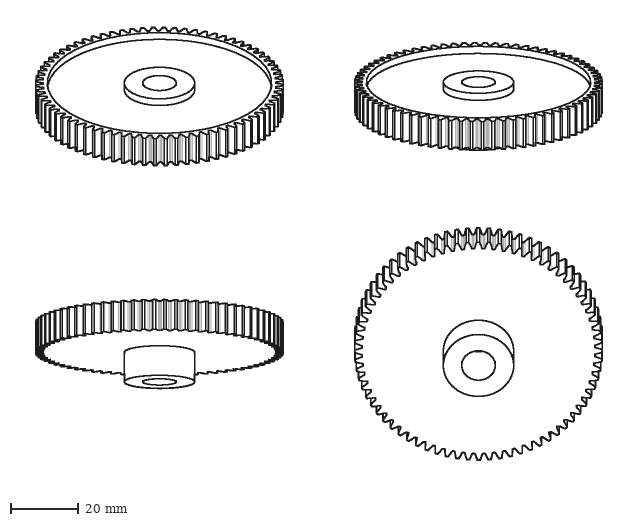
import cadquery as cq
import math

gear_width = 73.95
total_height = 18.0
rim_height = total_height / 2

bore_diameter = 10.0
hub_diameter = 21.0
recess_diameter = 66.9
recess_depth = 2.2

tooth_count = 72
pressure_angle = math.radians(20)
addendum_factor = 1.0
dedendum_factor = 1.25
root_fillet_factor = 0.38
flank_steps = 4

half_pitch = math.pi / tooth_count
base_ratio = math.cos(pressure_angle)
tip_ratio = 1 + 2 * addendum_factor / tooth_count


def involute(angle):
    return math.tan(angle) - angle


def half_tooth_angle(radius_ratio):
    """Half the angle a tooth fills at a radius given as a multiple of the pitch radius."""
    local_pressure_angle = math.acos(base_ratio / radius_ratio)
    return half_pitch / 2 + involute(pressure_angle) - involute(local_pressure_angle)


tip_radius = gear_width / 2 / math.cos(half_pitch - half_tooth_angle(tip_ratio))
pitch_radius = tip_radius / tip_ratio
module = 2 * pitch_radius / tooth_count
root_radius = pitch_radius - dedendum_factor * module
base_radius = pitch_radius * base_ratio

root_fillet = root_fillet_factor * module
fillet_centre_radius = root_radius + root_fillet
tangent_length = math.sqrt(fillet_centre_radius**2 - base_radius**2) - root_fillet
flank_start_radius = math.hypot(base_radius, tangent_length)
half_root_angle = half_tooth_angle(fillet_centre_radius / pitch_radius) + root_fillet / base_radius


def polar(radius, angle):
    return (radius * math.cos(angle), radius * math.sin(angle))


def flank_points(tooth_angle, side):
    """Points from root to tip on one flank; side is -1 or +1 about the tooth centre."""
    points = []
    for step in range(flank_steps + 1):
        radius = flank_start_radius + (tip_radius - flank_start_radius) * step / flank_steps
        half_angle = half_tooth_angle(radius / pitch_radius)
        points.append(polar(radius, tooth_angle + side * half_angle))
    return points


def toothed_disc():
    first_corner = polar(root_radius, half_pitch - half_root_angle)
    rim_bottom = total_height - rim_height
    outline = cq.Workplane("XY").workplane(offset=rim_bottom).moveTo(*first_corner)
    for tooth in range(tooth_count):
        tooth_angle = (2 * tooth + 1) * half_pitch
        gap_angle = tooth_angle + half_pitch
        next_tooth_angle = gap_angle + half_pitch
        rising = flank_points(tooth_angle, -1)
        falling = flank_points(tooth_angle, 1)[::-1]
        falling_root = polar(root_radius, tooth_angle + half_root_angle)
        next_root = polar(root_radius, next_tooth_angle - half_root_angle)
        outline = (
            outline.radiusArc(rising[0], root_fillet)
            .spline(rising[1:], includeCurrent=True)
            .threePointArc(polar(tip_radius, tooth_angle), falling[0])
            .spline(falling[1:], includeCurrent=True)
            .radiusArc(falling_root, root_fillet)
            .threePointArc(polar(root_radius, gap_angle), next_root)
        )
    return outline.close().extrude(rim_height)


def cylinder(diameter, height, bottom=0):
    return cq.Workplane("XY").workplane(offset=bottom).circle(diameter / 2).extrude(height)


recess = cylinder(recess_diameter, recess_depth, total_height - recess_depth)
hub = cylinder(hub_diameter, total_height)
bore = cylinder(bore_diameter, total_height)

result = toothed_disc().cut(recess).union(hub).cut(bore)